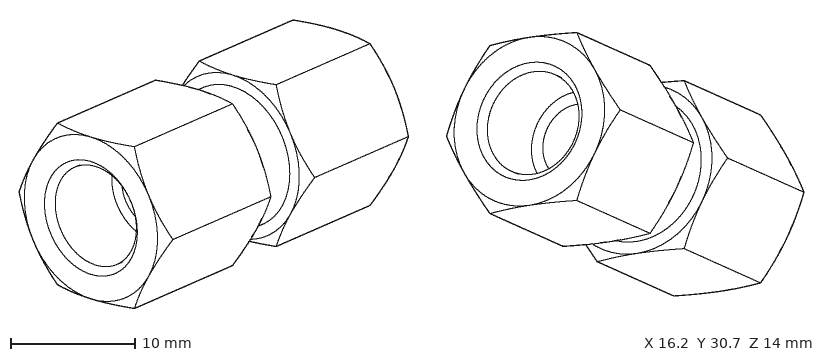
import cadquery as cq
import math

length = 30.7
across_flats = 14.0
front_nut_length = 13.5
rear_nut_length = 13.0
collar_diameter = 12.0

passage_diameter = 6.42
socket_diameter = 8.53
socket_mouth_diameter = 9.75
socket_depth = 7.68
mouth_chamfer_angle = 45.0

corner_chamfer_angle = 30.0

across_corners = across_flats / math.cos(math.radians(30))
half_length = length / 2


def revolve_about_y(points):
    """Solid of revolution from a closed (radius, y) outline."""
    return cq.Workplane("XY").polyline(points).close().revolve(360, (0, 0), (0, 1))


def cylinder_y(diameter, y_start, y_end):
    """Cylinder along the Y axis between two stations."""
    radius = diameter / 2
    return revolve_about_y([(0, y_start), (radius, y_start), (radius, y_end), (0, y_end)])


def hex_nut(y_start, y_end):
    """Hexagonal prism along Y with corners on +/-X, chamfered at both ends."""
    prism = (
        cq.Workplane("XZ", origin=(0, y_start, 0))
        .polygon(6, across_corners)
        .extrude(y_start - y_end)
    )
    face_radius = across_flats / 2
    corner_radius = across_corners / 2
    chamfer_height = (corner_radius - face_radius) * math.tan(math.radians(corner_chamfer_angle))
    envelope = revolve_about_y([
        (0, y_start),
        (face_radius, y_start),
        (corner_radius, y_start + chamfer_height),
        (corner_radius, y_end - chamfer_height),
        (face_radius, y_end),
        (0, y_end),
    ])
    return prism.intersect(envelope)


def tube_socket():
    """Cutter for the flat-bottomed socket and its chamfered mouth at the -Y end."""
    socket_radius = socket_diameter / 2
    mouth_radius = socket_mouth_diameter / 2
    mouth_depth = (mouth_radius - socket_radius) / math.tan(math.radians(mouth_chamfer_angle))
    return revolve_about_y([
        (0, -half_length),
        (mouth_radius, -half_length),
        (socket_radius, -half_length + mouth_depth),
        (socket_radius, -half_length + socket_depth),
        (0, -half_length + socket_depth),
    ])


front_nut_end = -half_length + front_nut_length
rear_nut_start = half_length - rear_nut_length
front_nut = hex_nut(-half_length, front_nut_end)
rear_nut = hex_nut(rear_nut_start, half_length)
collar = cylinder_y(collar_diameter, front_nut_end, rear_nut_start)
body = front_nut.union(collar).union(rear_nut)

front_socket = tube_socket()
rear_socket = front_socket.mirror("XZ")
passage = cylinder_y(passage_diameter, -half_length, half_length)
result = body.cut(passage).cut(front_socket).cut(rear_socket)